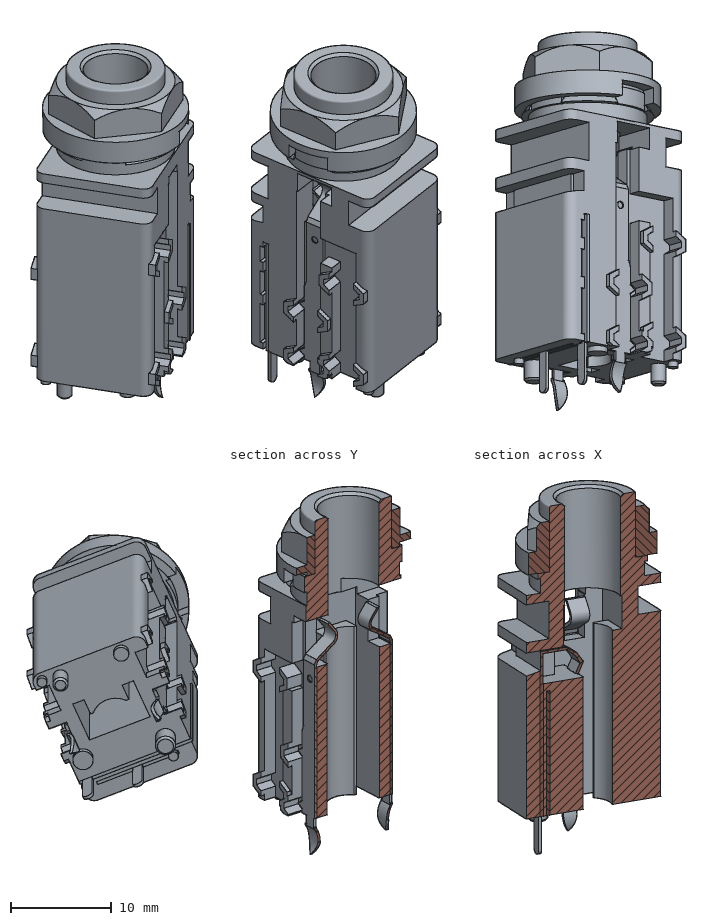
import cadquery as cq
import math


BODY_W = 12.0
BODY_FRONT = -7.6
BODY_BACK = 7.4
BODY_D = BODY_BACK - BODY_FRONT
BODY_TOP = 23.45
CORNER_R = 1.0
SIDE = BODY_W / 2

TOP_PLATE_T = 1.02
GROOVE_TOP = BODY_TOP - TOP_PLATE_T
FRONT_GROOVE_Z = 19.5
FRONT_GROOVE_Y = -5.1
BACK_GROOVE_Z = 18.52
BACK_GROOVE_Y = 4.85
BACK_NOTCH_TOP = 17.4
BACK_NOTCH_INNER_Z = 15.37
BACK_NOTCH_OUTER_Z = 15.0

COLLAR_DIA = 11.8
COLLAR_TOP = 24.92
RING_DIA = 13.15
RING_TOP_DIA = 12.37
FLANGE_Z = 25.55
FLANGE_DIA = 14.5
HEX_Z = 27.9
HEX_FLATS = 11.8
NUT_TOP = 30.85
NECK_DIA = 9.8
NECK_TOP = 32.43
NECK_EDGE = 0.22
BORE_DIA = 6.45
BORE_CHAMFER = 0.3

NOTCH_W = 4.4
NOTCH_SHIFT = 0.75
RING_NOTCH_ANGLES = (0, 90, 180, 270)
FLANGE_NOTCH_ANGLES = (0, 180)
FLANGE_NOTCH_TOP = 27.1
TAB_GAP = 0.3
TAB_TOP = 26.68

CAVITY_W = 6.5
CAVITY_FRONT = -BORE_DIA / 2
CAVITY_BACK = BORE_DIA / 2
CAVITY_TOP = 21.7
SHELF_Y = 1.02
SHELF_Z = 13.9
CRADLE_R = 2.35
CRADLE_W = 4.1
CRADLE_BACK = -1.55
CRADLE_TOP = 18.3
WINDOW_BACK = 1.2
WINDOW_FRONT = -2.95
WINDOW_Z = 20.95
WINDOW_TOP = 23.13
FAR_WINDOW_FRONT = -1.3

CHANNEL_BACK = 1.35
CHANNEL_FRONT = -1.6
RECESS_FRONT = -6.0
RECESS_TOP = 16.45
SIDE_FLOOR = 4.6
LAND_FRONT = -3.05
LAND_TOP = 13.45

RIB_OUT = 6.48
RIB_REACH = 1.25
RIB_BASE = 1.3
RIB_TIP = 0.62
POCKET_REACH = 0.7
POCKET_BASE = 0.75
POCKET_TIP = 0.3
CHANNEL_RIB_Z = [6.6, 0.88]
LEFT_RECESS_RIB_Z = [11.7, 1.9]
RIGHT_RECESS_RIB_Z = [14.27, 1.9]

SHEET_T = 0.33
SPRING_X = SIDE_FLOOR + SHEET_T
STRIP_Y = -0.1
STRIP_W = 2.05
FOOT_W = 2.55
FOOT_Z = 8.93
FOOT_SHOULDER_Z = 9.5
SPRING_BEND_Z = 16.75
SPRING_TOP = 20.8
SPRING_RAMP = (4.7, 17.28)
NOSE_OUTER = [(2.55, 18.63), (2.27, 19.18), (2.45, 19.73), (3.3, SPRING_TOP)]
SPRING_RAMP_INNER = (4.45, 17.02)
NOSE_INNER = [(2.35, 18.37), (1.95, 19.15), (2.2, 19.87), (2.93, SPRING_TOP)]
SPRING_INNER_BEND_Z = 16.58
TOOTH_REACH = 0.62
TOOTH_BASE = 0.45
OPENING_CLEARANCE = 0.07
DIMPLE_DIA = 0.75
DIMPLE_Z = 15.0
DIMPLE_DEPTH = 0.15
TAIL_NECK_W = 1.17
TAIL_W = 1.5
TAIL_SHOULDER_Z = -0.95
TAIL_TAPER_Z = -2.35
TAIL_END = -4.1
TAIL_CURVE = (0.48, -3.35)
TAIL_KINK = 0.48
TAIL_KINK_TOP = -1.1
TAIL_KINK_Z = -2.55

PIN_END = -4.17
PIN_W = 1.02
TIP_Y = 5.5
TIP_BLADE_W = 8.8
TIP_BLADE_TOP = 17.35
ARM_W = 1.75
ARM_TOP_BEND_Y = 3.0
ARM_BOTTOM_BEND_Y = 2.85
ARM_UPPER = [(1.72, 16.55), (1.0, 15.52), (1.6, 14.27)]
ARM_LOWER = [(1.95, 14.42), (1.43, 15.45), (1.95, 16.25)]
ARM_SLOT_W = 2.2
ARM_SLOT_Z = SHELF_Z
BREAK_Y = 4.8
BREAK_TOP = 13.03
BREAK_RIGHT = 6.15
BREAK_PIN_X = -5.1
SLIT_DEPTH = 0.75
SLIT_BACK = TIP_Y - 0.05
SIGHT_BACK = 5.82
SIGHT_RANGES = [(0.75, 5.38), (6.55, 9.37), (10.55, 12.37)]

PEGS = [(-3.22, -6.45, 1.5), (3.77, 3.75, 2.0)]
PEG_LEN = 2.0
PEG_CHAMFER = 0.22
PADS = [(3.35, -6.6, 1.5), (-4.6, 2.6, 2.0), (-5.05, -6.8, 1.0), (3.8, 5.67, 1.0)]
PAD_LEN = 0.55


def block(x0, x1, y0, y1, z0, z1):
    """Box between two corners."""
    return cq.Workplane("XY").box(x1 - x0, y1 - y0, z1 - z0, centered=False).translate((x0, y0, z0))


def side_block(side, x0, x1, y0, y1, z0, z1):
    """Box on the -X side (side = -1) or the +X side (side = 1), x measured outward."""
    low, high = sorted((side * x0, side * x1))
    return block(low, high, y0, y1, z0, z1)


def disc(dia, z0, z1, x=0, y=0):
    return cq.Workplane("XY", origin=(x, y, z0)).circle(dia / 2).extrude(z1 - z0)


def cone(bottom_dia, top_dia, z0, z1):
    """Truncated cone on the bore axis."""
    return cq.Workplane(cq.Solid.makeCone(bottom_dia / 2, top_dia / 2, z1 - z0, cq.Vector(0, 0, z0)))


def yz_prism(points, x0, x1):
    """Outline in Y and Z, extruded from x0 to x1."""
    return cq.Workplane("YZ", origin=(x0, 0, 0)).polyline(points).close().extrude(x1 - x0)


def edge_notch(angle, z0, z1):
    """Cutter for one notch in the rim, down to the collar radius and set off to one side."""
    notch = block(-FLANGE_DIA, 0, -NOTCH_W / 2 - NOTCH_SHIFT, NOTCH_W / 2 - NOTCH_SHIFT, z0, z1)
    return notch.cut(disc(COLLAR_DIA, z0, z1)).rotate((0, 0, 0), (0, 0, 1), angle)


def notch_tab(angle, z1):
    """Lug that stands in a notch on the collar, with a gap on one side of it."""
    lug = block(
        -FLANGE_DIA, 0, TAB_GAP - NOTCH_W / 2 - NOTCH_SHIFT, NOTCH_W / 2 - NOTCH_SHIFT, COLLAR_TOP, z1
    )
    lug = lug.intersect(disc(RING_TOP_DIA, COLLAR_TOP, z1)).cut(disc(NECK_DIA, COLLAR_TOP, z1))
    return lug.rotate((0, 0, 0), (0, 0, 1), angle)


def block_shell():
    """Solid block with its front and back grooves."""
    body = (
        cq.Workplane("XY")
        .box(BODY_W, BODY_D, BODY_TOP, centered=(True, False, False))
        .translate((0, BODY_FRONT, 0))
        .edges("|Z").fillet(CORNER_R)
    )
    body = body.cut(block(-SIDE, SIDE, BODY_FRONT, FRONT_GROOVE_Y, FRONT_GROOVE_Z, GROOVE_TOP))
    body = body.cut(block(-SIDE, SIDE, BACK_GROOVE_Y, BODY_BACK, BACK_GROOVE_Z, GROOVE_TOP))
    back_notch = [
        (TIP_Y, BACK_NOTCH_TOP),
        (TIP_Y, BACK_NOTCH_INNER_Z),
        (BODY_BACK, BACK_NOTCH_OUTER_Z),
        (BODY_BACK, BACK_NOTCH_TOP),
    ]
    return body.cut(yz_prism(back_notch, -SIDE, SIDE))


def neck():
    """Collar, conical ring with notches, and the threaded neck."""
    collar = disc(COLLAR_DIA, BODY_TOP, FLANGE_Z)
    ring = cone(RING_DIA, RING_TOP_DIA, COLLAR_TOP, FLANGE_Z)
    for angle in RING_NOTCH_ANGLES:
        ring = ring.cut(edge_notch(angle, COLLAR_TOP, FLANGE_Z))
        ring = ring.union(notch_tab(angle, FLANGE_Z))
    thread = disc(NECK_DIA, FLANGE_Z, NECK_TOP).faces(">Z").edges().fillet(NECK_EDGE)
    sleeve = collar.union(ring).union(thread)
    for angle in FLANGE_NOTCH_ANGLES:
        sleeve = sleeve.union(notch_tab(angle, TAB_TOP))
    return sleeve


def plug_cavity():
    """Bore, stepped cavity and the windows beside it."""
    bore = disc(BORE_DIA, SHELF_Z, NECK_TOP)
    mouth = cone(BORE_DIA, BORE_DIA + 2 * BORE_CHAMFER, NECK_TOP - BORE_CHAMFER, NECK_TOP)
    half = CAVITY_W / 2
    lower = block(-half, half, CAVITY_FRONT, SHELF_Y, 0, SHELF_Z)
    upper = block(-half, half, CAVITY_FRONT, CAVITY_BACK, SHELF_Z, CAVITY_TOP)
    near = block(-SIDE, 0, WINDOW_FRONT, WINDOW_BACK, WINDOW_Z, WINDOW_TOP)
    far = block(0, SIDE, FAR_WINDOW_FRONT, WINDOW_BACK, WINDOW_Z, CAVITY_TOP)
    return bore.union(mouth).union(lower).union(upper).union(near).union(far)


def cradle():
    """Curved seat that guides the front of the plug."""
    half = CRADLE_W / 2
    seat = block(-half, half, CAVITY_FRONT, CRADLE_BACK, 0, CRADLE_TOP)
    return seat.cut(disc(2 * CRADLE_R, 0, CRADLE_TOP))


def side_cut(side):
    """Channel for the side spring and the recess next to it, with the land left standing."""
    channel = side_block(side, SIDE_FLOOR, SIDE, CHANNEL_FRONT, CHANNEL_BACK, 0, WINDOW_Z)
    half = STRIP_W / 2 + OPENING_CLEARANCE
    opening_back = CHANNEL_BACK if side < 0 else STRIP_Y + half
    opening = side_block(side, 0, SIDE, STRIP_Y - half, opening_back, RECESS_TOP, WINDOW_Z)
    recess = side_block(side, SIDE_FLOOR, SIDE, RECESS_FRONT, CHANNEL_FRONT, 0, RECESS_TOP)
    land = side_block(side, SIDE_FLOOR, SIDE, LAND_FRONT, CHANNEL_FRONT, 0, LAND_TOP)
    return channel.union(opening).union(recess).cut(land)


def v_prism(side, y, direction, z, reach, base, tip):
    """Trapezoid that points along +Y or -Y, cut off at the seating face."""
    end = y + direction * reach
    outline = [(y, z - base), (end, z - tip), (end, z + tip), (y, z + base)]
    low, high = sorted((side * SIDE_FLOOR, side * RIB_OUT))
    return yz_prism(outline, low, high).intersect(block(low, high, BODY_FRONT, BODY_BACK, 0, BODY_TOP))


def rib_places(side):
    """Open edge, pointing direction and height of every rib on one side."""
    recess_heights = LEFT_RECESS_RIB_Z if side < 0 else RIGHT_RECESS_RIB_Z
    places = []
    for z in CHANNEL_RIB_Z:
        places += [(CHANNEL_BACK, 1, z), (CHANNEL_FRONT, -1, z)]
    for z in recess_heights:
        places += [(LAND_FRONT, 1, z), (RECESS_FRONT, -1, z)]
    return places


def back_slots():
    """Seats of the two flat contacts and the sight openings on the -X side."""
    half = TIP_BLADE_W / 2
    tip_back = TIP_Y + SHEET_T
    cuts = block(-half, half, TIP_Y, tip_back, 0, BACK_NOTCH_TOP)
    arm_half = ARM_SLOT_W / 2
    cuts = cuts.union(block(-arm_half, arm_half, SHELF_Y, tip_back, ARM_SLOT_Z, BACK_NOTCH_TOP))
    cuts = cuts.union(block(-SIDE, SIDE, BREAK_Y, BREAK_Y + SHEET_T, 0, BREAK_TOP))
    slit_floor = SIDE - SLIT_DEPTH
    cuts = cuts.union(side_block(-1, slit_floor, SIDE, BREAK_Y, SLIT_BACK, 0, BREAK_TOP))
    for z0, z1 in SIGHT_RANGES:
        cuts = cuts.union(side_block(-1, slit_floor, SIDE, BREAK_Y, SIGHT_BACK, z0, z1))
    return cuts


def make_housing():
    housing = block_shell().union(neck()).cut(plug_cavity()).union(cradle())
    for side in (-1, 1):
        housing = housing.cut(side_cut(side))
        places = rib_places(side)
        for y, direction, z in places:
            housing = housing.union(v_prism(side, y, direction, z, RIB_REACH, RIB_BASE, RIB_TIP))
        for y, direction, z in places:
            housing = housing.cut(v_prism(side, y, direction, z, POCKET_REACH, POCKET_BASE, POCKET_TIP))
    housing = housing.cut(back_slots())
    for x, y, dia in PEGS:
        housing = housing.union(disc(dia, -PEG_LEN, 0, x, y).faces("<Z").chamfer(PEG_CHAMFER))
    for x, y, dia in PADS:
        housing = housing.union(disc(dia, -PAD_LEN, 0, x, y))
    return housing


def make_nut():
    """Hex nut with a round flange that carries a notch on each X side."""
    hex_h = NUT_TOP - HEX_Z
    corner_dia = HEX_FLATS / math.cos(math.pi / 6)
    hexagon = (
        cq.Workplane("XY", origin=(0, 0, HEX_Z)).polygon(6, corner_dia).extrude(hex_h)
        .rotate((0, 0, 0), (0, 0, 1), 30)
    )
    corner_drop = (corner_dia - HEX_FLATS) / 2
    envelope = disc(corner_dia, HEX_Z, NUT_TOP).faces(">Z").chamfer(corner_drop)
    nut = disc(FLANGE_DIA, FLANGE_Z, HEX_Z).union(hexagon.intersect(envelope))
    nut = nut.cut(disc(NECK_DIA, FLANGE_Z, NUT_TOP))
    for angle in FLANGE_NOTCH_ANGLES:
        nut = nut.cut(edge_notch(angle, FLANGE_Z, FLANGE_NOTCH_TOP))
        nut = nut.cut(notch_tab(angle, TAB_TOP))
    return nut


def spring_profile():
    """Bent strip on the +X side: kinked tail, straight back and a nose that presses on the plug."""
    inner, outer = SIDE_FLOOR, SPRING_X
    width = FOOT_W + 2 * TOOTH_REACH
    return (
        cq.Workplane("XZ", origin=(0, STRIP_Y + width / 2, 0))
        .moveTo(outer, TAIL_KINK_TOP)
        .lineTo(outer, SPRING_BEND_Z)
        .lineTo(*SPRING_RAMP)
        .lineTo(*NOSE_OUTER[0]).threePointArc(*NOSE_OUTER[1:3])
        .lineTo(*NOSE_OUTER[3])
        .lineTo(*NOSE_INNER[3])
        .lineTo(*NOSE_INNER[2]).threePointArc(*NOSE_INNER[1::-1])
        .lineTo(*SPRING_RAMP_INNER)
        .lineTo(inner, SPRING_INNER_BEND_Z)
        .lineTo(inner, TAIL_KINK_TOP)
        .threePointArc((inner - TAIL_KINK, TAIL_KINK_Z), (inner, TAIL_END))
        .lineTo(outer, TAIL_END)
        .threePointArc((outer - TAIL_KINK, TAIL_KINK_Z), (outer, TAIL_KINK_TOP))
        .close().extrude(width)
    )


def spring_outline():
    """Width of the strip: narrow arm, wide foot with teeth, thin neck and a pointed tail."""
    right_half = [
        (STRIP_W / 2, WINDOW_Z), (STRIP_W / 2, FOOT_SHOULDER_Z), (FOOT_W / 2, FOOT_Z), (FOOT_W / 2, 0),
        (TAIL_NECK_W / 2, 0), (TAIL_NECK_W / 2, TAIL_SHOULDER_Z), (TAIL_W / 2, TAIL_SHOULDER_Z),
        (TAIL_W / 2, TAIL_TAPER_Z),
    ]
    left_half = [(-y, z) for y, z in reversed(right_half)]
    outline = (
        cq.Workplane("YZ", origin=(0, STRIP_Y, 0))
        .polyline(right_half)
        .threePointArc(TAIL_CURVE, (0, TAIL_END))
        .threePointArc((-TAIL_CURVE[0], TAIL_CURVE[1]), left_half[0])
        .polyline(left_half[1:], includeCurrent=True)
        .close().extrude(SIDE)
    )
    for z in CHANNEL_RIB_Z:
        for direction in (-1, 1):
            edge = STRIP_Y + direction * FOOT_W / 2
            tooth = [(edge, z - TOOTH_BASE), (edge + direction * TOOTH_REACH, z), (edge, z + TOOTH_BASE)]
            outline = outline.union(yz_prism(tooth, 0, SIDE))
    return outline


def make_side_spring(side):
    """Contact strip for one side channel, with a dimple in its outer face."""
    dimple = (
        cq.Workplane("YZ", origin=(SPRING_X - DIMPLE_DEPTH, STRIP_Y, DIMPLE_Z))
        .circle(DIMPLE_DIA / 2).extrude(DIMPLE_DEPTH)
    )
    spring = spring_profile().intersect(spring_outline()).cut(dimple)
    return spring.mirror("YZ") if side < 0 else spring


def solder_pin(x, y):
    """Flat pin with a round end, reaching up to the seating face."""
    half = PIN_W / 2
    return (
        cq.Workplane("XZ", origin=(x, y + SHEET_T, 0))
        .moveTo(-half, 0).lineTo(-half, PIN_END + half).threePointArc((0, PIN_END), (half, PIN_END + half))
        .lineTo(half, 0).close().extrude(SHEET_T)
    )


def make_tip_contact():
    """Back blade whose arm reaches into the bore."""
    half = TIP_BLADE_W / 2
    blade = block(-half, half, TIP_Y, TIP_Y + SHEET_T, 0, TIP_BLADE_TOP)
    arm_bottom = TIP_BLADE_TOP - SHEET_T
    arm = (
        [(TIP_Y, TIP_BLADE_TOP), (ARM_TOP_BEND_Y, TIP_BLADE_TOP)] + ARM_UPPER
        + ARM_LOWER + [(ARM_BOTTOM_BEND_Y, arm_bottom), (TIP_Y, arm_bottom)]
    )
    return blade.union(yz_prism(arm, -ARM_W / 2, ARM_W / 2)).union(solder_pin(0, TIP_Y))


def make_break_contact():
    """Plain sheet across the block with one solder pin near its -X edge."""
    sheet = block(-SIDE, BREAK_RIGHT, BREAK_Y, BREAK_Y + SHEET_T, 0, BREAK_TOP)
    return sheet.union(solder_pin(BREAK_PIN_X, BREAK_Y))


housing = make_housing()
nut = make_nut()
side_springs = [make_side_spring(side) for side in (-1, 1)]
tip_contact = make_tip_contact()
break_contact = make_break_contact()

result = cq.Compound.makeCompound([
    housing.val(),
    nut.val(),
    *[spring.val() for spring in side_springs],
    tip_contact.val(),
    break_contact.val(),
])